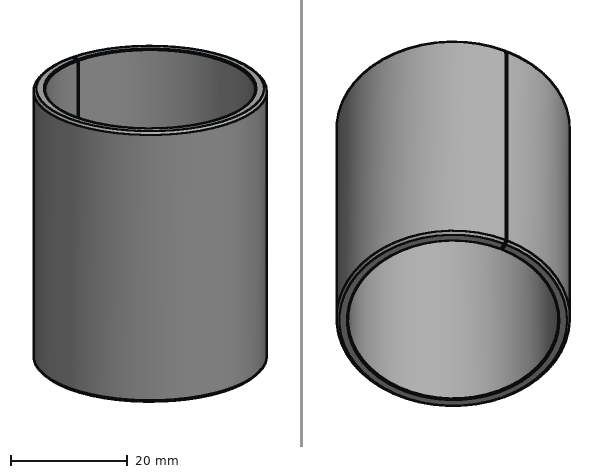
import cadquery as cq

outer_diameter = 40.0
wall = 2.0
length = 50.0

outer_chamfer = 0.5
inner_chamfer = 0.2

joint_angle = 1.0


def wall_section():
    """Chamfered wall section in the XZ plane, on the -X side of the bushing axis."""
    outer_x = -outer_diameter / 2
    inner_x = outer_x + wall
    outer_face_x = outer_x + outer_chamfer
    inner_face_x = inner_x - inner_chamfer
    return (
        cq.Workplane("XZ")
        .moveTo(inner_face_x, 0)
        .lineTo(outer_face_x, 0)
        .lineTo(outer_x, outer_chamfer)
        .lineTo(outer_x, length - outer_chamfer)
        .lineTo(outer_face_x, length)
        .lineTo(inner_face_x, length)
        .lineTo(inner_x, length - inner_chamfer)
        .lineTo(inner_x, inner_chamfer)
        .close()
    )


axis_start = (0, 0, 0)
axis_end = (0, 1, 0)
result = wall_section().revolve(360 - joint_angle, axis_start, axis_end)